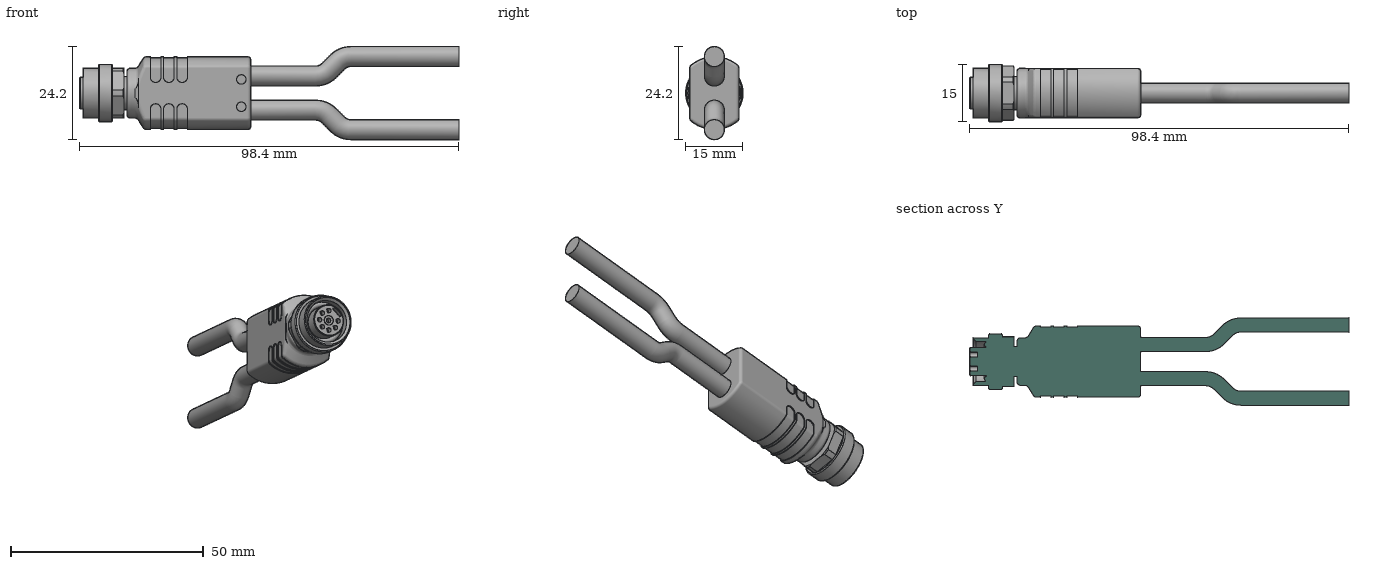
import cadquery as cq
import math

TOTAL_LENGTH = 98.4

INSERT_DIAMETER = 8.3
INSERT_CHAMFER = 0.2
SLEEVE_START = 0.9
SLEEVE_DIAMETER = 13.0
SLEEVE_BORE_DIAMETER = 10.9
SLEEVE_MOUTH_DIAMETER = 12.3
SLEEVE_BORE_END = 4.4
COLLAR_START = 4.8
COLLAR_DIAMETER = 15.0
COLLAR_CHAMFER = 0.3
HEX_START = 8.6
HEX_ACROSS_FLATS = 13.0
HEX_CORNER_DIAMETER = 14.2
HEX_CORNER_CHAMFER = 0.3
NECK_START = 11.5
NECK_DIAMETER = 8.7

SEAL_TUBE_RADIUS = (SLEEVE_BORE_DIAMETER - INSERT_DIAMETER) / 4
SEAL_RING_RADIUS = (SLEEVE_BORE_DIAMETER + INSERT_DIAMETER) / 4

CONTACT_DIAMETER = 1.2
CONTACT_DEPTH = 2.0
CONTACT_CIRCLE_RADIUS = 2.6
CONTACT_PLACES = 8
KEY_POCKET_PLACE = 3
CENTRE_RECESS_DIAMETER = 2.5
CENTRE_RECESS_DEPTH = 0.2

KEY_POCKET_WIDTH = 2.8
KEY_POCKET_INNER_RADIUS = 3.0
KEY_POCKET_OUTER_RADIUS = 3.7
KEY_POCKET_DEPTH = 2.0

BOSS_START = 12.2
BOSS_DIAMETER = 13.0
BOSS_FILLET = 1.0
ROOT_FILLET = 1.0
CONE_START = 14.7
CONE_END = 16.7
BODY_END = 44.4
BODY_RADIUS = 9.45
BODY_WIDTH = 12.8
BODY_EDGE_FILLET = 1.1
BODY_END_FILLET = 0.8
CONE_FOOT_RADIUS = 6.1
CONE_EDGE_FILLET = 1.0
CONE_EDGE_MARGIN = 0.1

GRIP_DEPTH = 0.25
GRIP_WIDTH = 2.8
GRIP_PITCH = 3.4
GRIP_COUNT = 3
FIRST_GRIP_X = 19.7
GRIP_INNER_END = 2.8

MARK_DIAMETER = 2.5
MARK_DEPTH = 0.1
MARK_X = 41.9
MARK_Z = 3.5

CABLE_DIAMETER = 5.2
CABLE_Z = 4.4
TOTAL_HEIGHT = 24.2
CABLE_END_Z = (TOTAL_HEIGHT - CABLE_DIAMETER) / 2
CABLE_BEND_START = 61.2
CABLE_BEND_RADIUS = 4.9
CABLE_BEND_ANGLE = 45.0
CABLE_OVERLAP = 2.0


def cylinder_x(start, end, diameter):
    """Solid cylinder on the X axis."""
    return cq.Workplane("YZ", origin=(start, 0, 0)).circle(diameter / 2).extrude(end - start)


def make_insert():
    insert = cylinder_x(0, COLLAR_START, INSERT_DIAMETER).faces("<X").chamfer(INSERT_CHAMFER)
    places = [(0, 0)]
    for i in range(CONTACT_PLACES):
        if i == KEY_POCKET_PLACE:
            continue
        angle = 2 * math.pi * i / CONTACT_PLACES
        places.append((CONTACT_CIRCLE_RADIUS * math.cos(angle), CONTACT_CIRCLE_RADIUS * math.sin(angle)))
    holes = cq.Workplane("YZ").pushPoints(places).circle(CONTACT_DIAMETER / 2).extrude(CONTACT_DEPTH)
    centre_recess = cylinder_x(0, CENTRE_RECESS_DEPTH, CENTRE_RECESS_DIAMETER)
    key_pocket = (
        cq.Workplane("XY")
        .box(KEY_POCKET_DEPTH, KEY_POCKET_OUTER_RADIUS, KEY_POCKET_WIDTH, centered=(False, False, True))
        .translate((0, KEY_POCKET_INNER_RADIUS, 0))
        .rotate((0, 0, 0), (1, 0, 0), 360 * KEY_POCKET_PLACE / CONTACT_PLACES)
    )
    key_pocket = key_pocket.intersect(cylinder_x(0, KEY_POCKET_DEPTH, 2 * KEY_POCKET_OUTER_RADIUS))
    return insert.cut(holes).cut(centre_recess).cut(key_pocket)


def make_sleeve():
    sleeve = cylinder_x(SLEEVE_START, COLLAR_START, SLEEVE_DIAMETER)
    sleeve = sleeve.cut(cylinder_x(SLEEVE_START, SLEEVE_BORE_END, SLEEVE_BORE_DIAMETER))
    mouth_chamfer = (SLEEVE_MOUTH_DIAMETER - SLEEVE_BORE_DIAMETER) / 2
    return sleeve.faces("<X").edges(cq.selectors.RadiusNthSelector(0)).chamfer(mouth_chamfer)


def make_seal():
    """Ring sunk to half its section in the floor of the sleeve bore."""
    return (
        cq.Workplane("XY")
        .center(SLEEVE_BORE_END, SEAL_RING_RADIUS)
        .circle(SEAL_TUBE_RADIUS)
        .revolve(360, (0, -SEAL_RING_RADIUS), (1, -SEAL_RING_RADIUS))
    )


def make_collar():
    collar = cylinder_x(COLLAR_START, HEX_START, COLLAR_DIAMETER)
    return collar.edges().chamfer(COLLAR_CHAMFER)


def make_hex_nut():
    """Hexagon with rounded corners, two flats facing +Z and -Z."""
    hex_diameter = HEX_ACROSS_FLATS / math.cos(math.pi / 6)
    hexagon = (
        cq.Workplane("YZ", origin=(HEX_START, 0, 0))
        .polygon(6, hex_diameter)
        .extrude(NECK_START - HEX_START)
    )
    envelope = cylinder_x(HEX_START, NECK_START, HEX_CORNER_DIAMETER)
    return hexagon.intersect(envelope.faces(">X").chamfer(HEX_CORNER_CHAMFER))


def flat_sided(block, width):
    """Keep only the part of a round block that lies within a width along Y."""
    slab = cq.Workplane("XY").box(TOTAL_LENGTH, width, 2 * BODY_RADIUS, centered=(False, True, True))
    return block.intersect(slab)


def make_body():
    """Turned block with a cone at the front, sliced flat on both sides and rounded."""
    turned = (
        cq.Workplane("XY")
        .moveTo(CONE_START, 0)
        .lineTo(CONE_START, CONE_FOOT_RADIUS)
        .lineTo(CONE_END, BODY_RADIUS)
        .lineTo(BODY_END, BODY_RADIUS)
        .lineTo(BODY_END, 0)
        .close()
        .revolve(360, (0, 0), (1, 0))
    )
    body = flat_sided(turned, BODY_WIDTH).edges("|X").fillet(BODY_EDGE_FILLET)
    body = body.faces(">X").edges().fillet(BODY_END_FILLET)
    cone_edges = cq.selectors.BoxSelector(
        (CONE_START + CONE_EDGE_MARGIN, -BODY_RADIUS, -BODY_RADIUS),
        (CONE_END + CONE_EDGE_MARGIN, BODY_RADIUS, BODY_RADIUS),
    )
    return body.edges(cone_edges).fillet(CONE_EDGE_FILLET)


def make_boss():
    """Round boss with a concave fillet that runs out onto the cone of the body."""
    boss_radius = BOSS_DIAMETER / 2
    cone_angle = math.atan2(BODY_RADIUS - CONE_FOOT_RADIUS, CONE_END - CONE_START)
    meet_x = CONE_START + (boss_radius - CONE_FOOT_RADIUS) / math.tan(cone_angle)
    tangent = ROOT_FILLET * math.tan(cone_angle / 2)
    start_x = meet_x - tangent
    end_x = meet_x + tangent * math.cos(cone_angle)
    end_radius = boss_radius + tangent * math.sin(cone_angle)
    middle_x = start_x + ROOT_FILLET * math.sin(cone_angle / 2)
    middle_radius = boss_radius + ROOT_FILLET * (1 - math.cos(cone_angle / 2))
    root = (
        cq.Workplane("XY")
        .moveTo(start_x, 0)
        .lineTo(start_x, boss_radius)
        .threePointArc((middle_x, middle_radius), (end_x, end_radius))
        .lineTo(end_x, 0)
        .close()
        .revolve(360, (0, 0), (1, 0))
    )
    cylinder = cylinder_x(BOSS_START, start_x, BOSS_DIAMETER).faces("<X").edges().fillet(BOSS_FILLET)
    return cylinder.union(flat_sided(root, BODY_WIDTH))


def make_grip_recesses():
    """Slots open to top and bottom, cut only down to a slightly smaller copy of the body section."""
    round_core = cylinder_x(0, BODY_END, 2 * (BODY_RADIUS - GRIP_DEPTH))
    core = flat_sided(round_core, BODY_WIDTH - 2 * GRIP_DEPTH).edges("|X").fillet(BODY_EDGE_FILLET)
    slot_length = 2 * (BODY_RADIUS - GRIP_INNER_END + GRIP_WIDTH)
    slot_centre_z = GRIP_INNER_END + slot_length / 2
    places = []
    for i in range(GRIP_COUNT):
        x = FIRST_GRIP_X + i * GRIP_PITCH
        places += [(x, slot_centre_z), (x, -slot_centre_z)]
    slots = (
        cq.Workplane("XZ")
        .pushPoints(places)
        .slot2D(slot_length, GRIP_WIDTH, 90)
        .extrude(BODY_WIDTH, both=True)
    )
    return slots.cut(core)


def make_mark_recesses():
    return (
        cq.Workplane("XZ", origin=(0, -BODY_WIDTH / 2 + MARK_DEPTH, 0))
        .pushPoints([(MARK_X, MARK_Z), (MARK_X, -MARK_Z)])
        .circle(MARK_DIAMETER / 2)
        .extrude(MARK_DEPTH)
    )


def make_upper_cable():
    """Round cable that steps outward through two equal bends with a straight piece between."""
    angle = math.radians(CABLE_BEND_ANGLE)
    bend_rise = CABLE_BEND_RADIUS * (1 - math.cos(angle))
    bend_run = CABLE_BEND_RADIUS * math.sin(angle)
    slope_rise = CABLE_END_Z - CABLE_Z - 2 * bend_rise
    slope_run = slope_rise / math.tan(angle)
    start_x = BODY_END - CABLE_OVERLAP
    bend_end_x = CABLE_BEND_START + 2 * bend_run + slope_run
    path = (
        cq.Workplane("XZ")
        .moveTo(start_x, CABLE_Z)
        .lineTo(CABLE_BEND_START, CABLE_Z)
        .tangentArcPoint((bend_run, bend_rise))
        .line(slope_run, slope_rise)
        .tangentArcPoint((bend_end_x, CABLE_END_Z), relative=False)
        .lineTo(TOTAL_LENGTH, CABLE_END_Z)
    )
    return cq.Workplane("YZ", origin=(start_x, 0, CABLE_Z)).circle(CABLE_DIAMETER / 2).sweep(path)


upper_cable = make_upper_cable()
body = make_body().cut(make_grip_recesses()).cut(make_mark_recesses())
result = (
    make_sleeve()
    .union(make_insert())
    .union(make_seal())
    .union(make_collar())
    .union(make_hex_nut())
    .union(cylinder_x(NECK_START, BOSS_START, NECK_DIAMETER))
    .union(make_boss())
    .union(body)
    .union(upper_cable)
    .union(upper_cable.mirror("XY"))
)